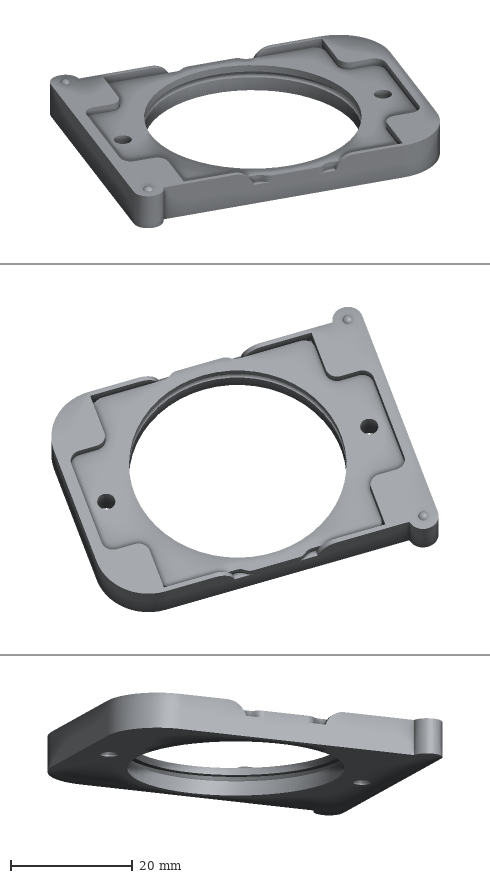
import cadquery as cq
import math

frame_width = 40.3
frame_length = 56.45
frame_height = 6.0
ear_span = 44.6
ear_length = 5.1
ear_radius = 2.5
back_corner_radius = 9.0
bump_diameter = 1.7
bump_height = 0.45

window_diameter = 35.9
screw_hole_diameter = 3.0
screw_hole_offset = 22.85
recess_diameter = 38.4
recess_depth = 1.1

plate_thickness = 0.59
plate_count = 2
pocket_depth = 2.5
pocket_width = 38.7
pocket_length = 38.5
lobe_width = 19.85
lobe_length = 52.6
lobe_radius = 2.0
side_gap = 0.2
edge_gap = 0.05
plate_corner_radius = 2.0

notch_radius = 3.5
notch_length = 21.1
tab_length = 7.9
tab_radius = 2.0

pocket_floor = frame_height - pocket_depth
ear_y = (ear_length - frame_length) / 2
ear_x = ear_span / 2 - ear_radius


def block(width, length, height):
    """Block centred in X and Y, standing on Z = 0."""
    return cq.Workplane("XY").box(width, length, height, centered=(True, True, False))


def cross_block(width, length, lobe_size, lobe_reach, height):
    """Rectangle with a rounded lobe on its +Y and -Y sides, filleted where they join."""
    lobes = block(lobe_size, lobe_reach, height).edges("|Z").fillet(lobe_radius)
    cross = block(width, length, height).union(lobes)
    half_x = lobe_size / 2
    half_y = length / 2
    margin = 0.05
    selection = cq.selectors.BoxSelector(
        (-half_x - margin, -half_y - margin, -margin),
        (half_x + margin, half_y + margin, height + margin),
    )
    return cross.edges("|Z").edges(selection).fillet(lobe_radius)


def openings(height):
    """Round window and two screw holes, as one cutting tool standing on Z = 0."""
    window = cq.Workplane("XY").circle(window_diameter / 2).extrude(height)
    holes = (
        cq.Workplane("XY")
        .pushPoints([(0, -screw_hole_offset), (0, screw_hole_offset)])
        .circle(screw_hole_diameter / 2)
        .extrude(height)
    )
    return window.union(holes)


def frame_blank():
    """Plain frame with its rounded back corners and the two ears at the front."""
    body = block(frame_width, frame_length, frame_height)
    body = body.edges("|Z and >Y").fillet(back_corner_radius)
    ear_strip = block(ear_span, ear_length, frame_height).translate((0, ear_y, 0))
    rounded_strip = ear_strip.edges("|Z").fillet(ear_radius)
    front_trim = ear_strip.translate((0, -ear_length / 2, 0))
    return body.cut(front_trim).union(rounded_strip)


def notch_tool():
    """Gap through both side walls, narrowing downward along convex arcs."""
    top_half = notch_length / 2
    arc_angle = math.acos(1 - pocket_depth / notch_radius)
    bottom_half = top_half - notch_radius * math.sin(arc_angle)
    middle_half = top_half - notch_radius * math.sin(arc_angle / 2)
    middle_z = frame_height - notch_radius * (1 - math.cos(arc_angle / 2))
    return (
        cq.Workplane("YZ")
        .moveTo(-top_half, frame_height)
        .threePointArc((-middle_half, middle_z), (-bottom_half, pocket_floor))
        .lineTo(bottom_half, pocket_floor)
        .threePointArc((middle_half, middle_z), (top_half, frame_height))
        .close()
        .extrude(frame_width / 2, both=True)
    )


def bump(x):
    """Low spherical dome on top of an ear."""
    bump_radius = bump_diameter / 2
    sphere_radius = (bump_radius**2 + bump_height**2) / (2 * bump_height)
    rise = sphere_radius - bump_height
    sphere = cq.Workplane("XY").sphere(sphere_radius).translate((x, ear_y, frame_height - rise))
    above = cq.Workplane("XY").circle(bump_radius).extrude(bump_height).translate((x, ear_y, frame_height))
    return sphere.intersect(above)


def make_frame():
    pocket = cross_block(pocket_width, pocket_length, lobe_width, lobe_length, pocket_depth)
    recess = cq.Workplane("XY").circle(recess_diameter / 2).extrude(recess_depth)
    body = frame_blank()
    body = body.cut(pocket.translate((0, 0, pocket_floor)))
    body = body.cut(notch_tool())
    body = body.cut(recess.translate((0, 0, pocket_floor - recess_depth)))
    body = body.cut(openings(frame_height))
    for side in (-1, 1):
        body = body.union(bump(side * ear_x))
    return body


def plate_tabs(body_width):
    """Band across the plate whose ends run out to the frame's sides along S-shaped flanks."""
    inner_x = body_width / 2
    outer_x = frame_width / 2
    reach = outer_x - inner_x
    flank_angle = math.acos(1 - reach / (2 * tab_radius))
    half_flank = tab_radius * math.sin(flank_angle)
    arc_rise = tab_radius * math.sin(flank_angle / 2)
    arc_offset = tab_radius * (1 - math.cos(flank_angle / 2))
    outer_y = tab_length / 2
    inflection = (inner_x + reach / 2, outer_y + half_flank)
    inner_y = outer_y + 2 * half_flank
    half = (
        cq.Workplane("XY")
        .lineTo(outer_x, 0)
        .lineTo(outer_x, outer_y)
        .threePointArc((outer_x - arc_offset, outer_y + arc_rise), inflection)
        .threePointArc((inner_x + arc_offset, inner_y - arc_rise), (inner_x, inner_y))
        .lineTo(0, inner_y)
        .close()
        .extrude(plate_thickness)
    )
    half = half.union(half.mirror("XZ"))
    return half.union(half.mirror("YZ"))


def make_plate(bottom_z):
    width = pocket_width - 2 * side_gap
    length = pocket_length - 2 * edge_gap
    plate = cross_block(
        width, length, lobe_width - 2 * edge_gap, lobe_length - 2 * edge_gap, plate_thickness
    )
    plate = plate.edges("|Z and (<X or >X)").fillet(plate_corner_radius)
    plate = plate.union(plate_tabs(width)).cut(openings(plate_thickness))
    return plate.translate((0, 0, bottom_z))


frame = make_frame()
plates = [make_plate(pocket_floor + level * plate_thickness) for level in range(plate_count)]

result = cq.Compound.makeCompound([frame.val(), *[plate.val() for plate in plates]])